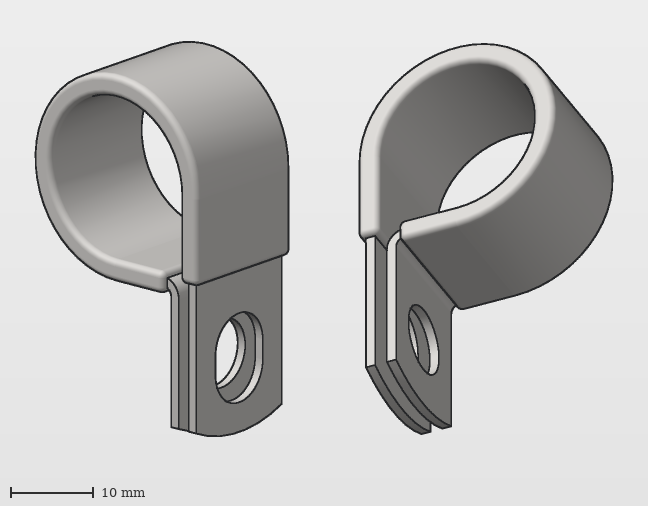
import cadquery as cq
import math


strap_width = 15.875
strap_thickness = 1.2125
bend_inner_radius = 1.19
tab_gap = 1.5875

cushion_thickness = 0.79375
edge_radius = 0.79
cushion_end_x = 7.66

bore_radius = 10.32
strap_inner_radius = bore_radius + cushion_thickness
strap_outer_radius = strap_inner_radius + strap_thickness
outer_radius = strap_outer_radius + cushion_thickness
cushion_width = strap_width + 2 * cushion_thickness
cushion_end_z = -strap_inner_radius

hole_diameter = 8.73
slot_length = 11.33
hole_z = -22.225
tab_bottom_z = -31.68
tab_end_sag = 1.7
tab_corner_z = tab_bottom_z + tab_end_sag
bent_tab_outer_x = strap_inner_radius - tab_gap
bent_tab_inner_x = bent_tab_outer_x - strap_thickness
gap_middle_x = strap_inner_radius - tab_gap / 2

bend_outer_radius = bend_inner_radius + strap_thickness
bend_x = bent_tab_outer_x - bend_outer_radius
bend_z = -strap_inner_radius - bend_outer_radius

tolerance = 0.001


def extrude_centered(profile, width):
    """Extrude an XZ profile along Y, symmetric about Y = 0."""
    return profile.extrude(width / 2, both=True)


def bend_midpoint(radius):
    """Middle point of the bend's quarter arc at the given radius."""
    offset = radius * math.sqrt(0.5)
    return (bend_x + offset, bend_z + offset)


def loop_midpoint(radius):
    """Middle point of the loop's three-quarter arc at the given radius."""
    offset = radius * math.sqrt(0.5)
    return (-offset, offset)


def is_end_edge(edge):
    """True for the sleeve's edges across its two leg ends."""
    center = edge.Center()
    at_downward_end = abs(center.z - cushion_end_z) < tolerance
    at_horizontal_end = abs(center.x - cushion_end_x) < tolerance
    return at_downward_end or at_horizontal_end


def make_cushion():
    """Rounded sleeve: three-quarter loop with a downward leg and a horizontal leg."""
    profile = (
        cq.Workplane("XZ")
        .moveTo(outer_radius, cushion_end_z)
        .lineTo(outer_radius, 0)
        .threePointArc(loop_midpoint(outer_radius), (0, -outer_radius))
        .lineTo(cushion_end_x, -outer_radius)
        .lineTo(cushion_end_x, -bore_radius)
        .lineTo(0, -bore_radius)
        .threePointArc(loop_midpoint(bore_radius), (bore_radius, 0))
        .lineTo(bore_radius, cushion_end_z)
        .close()
    )
    sleeve = extrude_centered(profile, cushion_width)
    side_edges = sleeve.faces("<Y or >Y").edges()
    end_edges = sleeve.edges("|Y").filter(is_end_edge)
    return sleeve.newObject(side_edges.vals() + end_edges.vals()).fillet(edge_radius)


def make_strap():
    """Bent metal strap running through the sleeve and ending in the two tabs."""
    profile = (
        cq.Workplane("XZ")
        .moveTo(strap_outer_radius, tab_bottom_z)
        .lineTo(strap_outer_radius, 0)
        .threePointArc(loop_midpoint(strap_outer_radius), (0, -strap_outer_radius))
        .lineTo(bend_x, -strap_outer_radius)
        .threePointArc(bend_midpoint(bend_inner_radius), (bent_tab_inner_x, bend_z))
        .lineTo(bent_tab_inner_x, tab_bottom_z)
        .lineTo(bent_tab_outer_x, tab_bottom_z)
        .lineTo(bent_tab_outer_x, bend_z)
        .threePointArc(bend_midpoint(bend_outer_radius), (bend_x, -strap_inner_radius))
        .lineTo(0, -strap_inner_radius)
        .threePointArc(loop_midpoint(strap_inner_radius), (strap_inner_radius, 0))
        .lineTo(strap_inner_radius, tab_bottom_z)
        .close()
    )
    return extrude_centered(profile, strap_width)


def make_tab_outline():
    """Block with the strap's outline seen along X: straight sides and an arched bottom."""
    half_width = strap_width / 2
    return (
        cq.Workplane("YZ")
        .moveTo(-half_width, outer_radius)
        .lineTo(-half_width, tab_corner_z)
        .threePointArc((0, tab_bottom_z), (half_width, tab_corner_z))
        .lineTo(half_width, outer_radius)
        .close()
        .extrude(outer_radius, both=True)
    )


def make_bolt_hole():
    """Cylinder along X that passes through the bent tab, ending in the gap between the tabs."""
    return (
        cq.Workplane("YZ")
        .center(0, hole_z)
        .circle(hole_diameter / 2)
        .extrude(gap_middle_x)
    )


def make_bolt_slot():
    """Vertical round-ended slot along X that passes through the straight tab."""
    return (
        cq.Workplane("YZ")
        .workplane(offset=gap_middle_x)
        .center(0, hole_z)
        .slot2D(slot_length, hole_diameter, 90)
        .extrude(outer_radius - gap_middle_x)
    )


strap = make_strap().intersect(make_tab_outline())
strap = strap.cut(make_bolt_hole()).cut(make_bolt_slot())
result = make_cushion().union(strap)